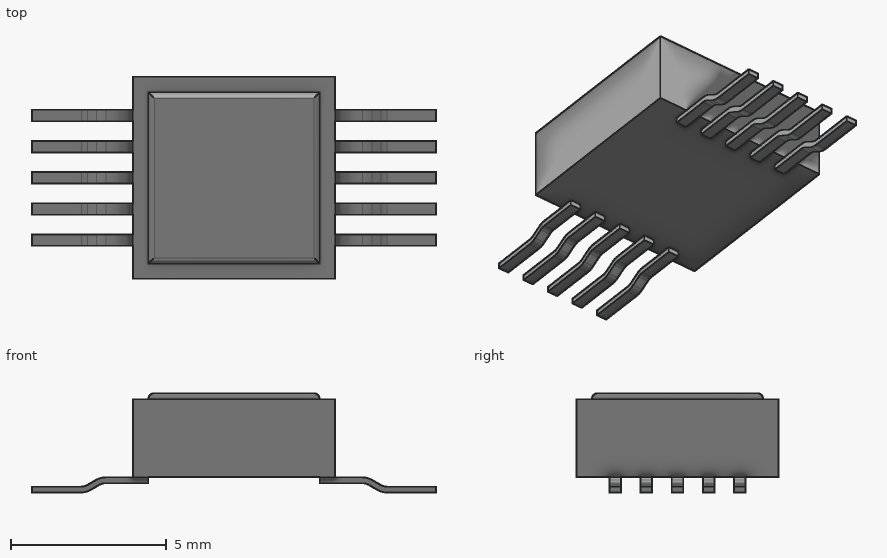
import cadquery as cq
import math

overall_length = 13.0
overall_height = 3.2
body_side = overall_length / 2
body_height = 2.51

lid_height = 0.2
lid_margin = 0.5
lid_side = body_side - 2 * lid_margin

leads_per_side = 5
lead_pitch = 1.0
lead_width = 0.38
lead_thickness = 0.2
lead_overlap = lid_margin
foot_length = 1.59
bend_radius = 0.4
bend_angle = math.radians(30)

body_bottom = overall_height - lid_height - body_height
body_top = body_bottom + body_height
lead_drop = body_bottom - lead_thickness


def make_body():
    return cq.Workplane("XY").workplane(offset=body_bottom).rect(body_side, body_side).extrude(body_height)


def lid_bar(plane):
    """Bar with quarter-round upper edges, as long as the lid is wide."""
    half = lid_side / 2
    flat_half = half - lid_height
    arc_offset = lid_height * math.sqrt(0.5)
    arc_mid_height = body_top + arc_offset
    return (
        cq.Workplane(plane)
        .moveTo(-half, body_top)
        .lineTo(half, body_top)
        .threePointArc((flat_half + arc_offset, arc_mid_height), (flat_half, overall_height))
        .lineTo(-flat_half, overall_height)
        .threePointArc((-flat_half - arc_offset, arc_mid_height), (-half, body_top))
        .close()
        .extrude(half, both=True)
    )


def make_lid():
    """Crossing two bars gives rounded edges that meet in mitred corners."""
    return lid_bar("XZ").intersect(lid_bar("YZ"))


def make_lead():
    """Left-hand lead: foot, two opposite bends joined by a slope, then a shoulder under the body."""
    outer_radius = bend_radius + lead_thickness
    bends_drop = (bend_radius + outer_radius) * (1 - math.cos(bend_angle))
    slope_run = (lead_drop - bends_drop) / math.tan(bend_angle)
    bends_run = (bend_radius + outer_radius) * math.sin(bend_angle)

    tip_x = -overall_length / 2
    inner_x = -body_side / 2 + lead_overlap
    lower_bend_x = tip_x + foot_length
    upper_bend_x = lower_bend_x + slope_run + bends_run
    lower_centre_z = lead_thickness + bend_radius
    upper_centre_z = lead_drop - bend_radius

    def lower_arc(radius, angle):
        return (lower_bend_x + radius * math.sin(angle), lower_centre_z - radius * math.cos(angle))

    def upper_arc(radius, angle):
        return (upper_bend_x - radius * math.sin(angle), upper_centre_z + radius * math.cos(angle))

    half_angle = bend_angle / 2
    return (
        cq.Workplane("XZ")
        .moveTo(tip_x, 0)
        .lineTo(tip_x, lead_thickness)
        .lineTo(lower_bend_x, lead_thickness)
        .threePointArc(lower_arc(bend_radius, half_angle), lower_arc(bend_radius, bend_angle))
        .lineTo(*upper_arc(outer_radius, bend_angle))
        .threePointArc(upper_arc(outer_radius, half_angle), upper_arc(outer_radius, 0))
        .lineTo(inner_x, body_bottom)
        .lineTo(inner_x, lead_drop)
        .lineTo(upper_bend_x, lead_drop)
        .threePointArc(upper_arc(bend_radius, half_angle), upper_arc(bend_radius, bend_angle))
        .lineTo(*lower_arc(outer_radius, bend_angle))
        .threePointArc(lower_arc(outer_radius, half_angle), lower_arc(outer_radius, 0))
        .close()
        .extrude(lead_width / 2, both=True)
    )


result = make_body().union(make_lid())

left_lead = make_lead()
right_lead = left_lead.mirror("YZ")
for index in range(leads_per_side):
    lead_y = (index - (leads_per_side - 1) / 2) * lead_pitch
    result = result.union(left_lead.translate((0, lead_y, 0)))
    result = result.union(right_lead.translate((0, lead_y, 0)))